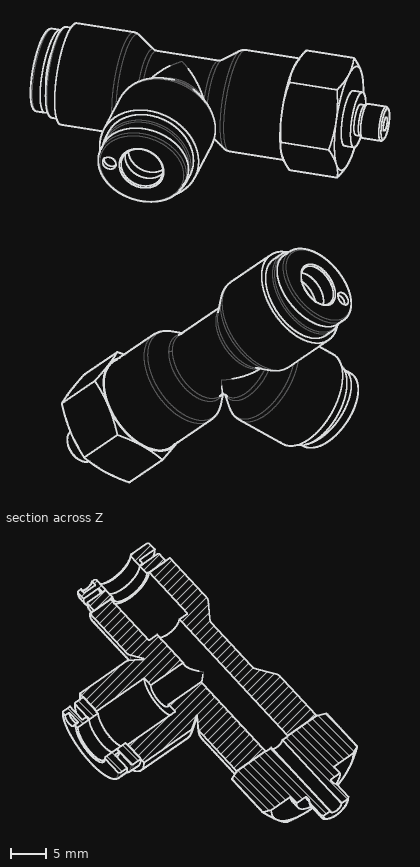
import cadquery as cq
import math


ARM_LENGTH = 16.75
ARM_DIAMETER = 14.7
WAIST_DIAMETER = 10.5
SHOULDER_OUTER = 8.0
SHOULDER_INNER = 4.95
SHOULDER_BLEND = 1.0
FLOW_BORE = 4.0
SOCKET_BORE = 7.0
SOCKET_FLOOR = SHOULDER_OUTER

RING_LENGTH = 1.65
RING_DIAMETER = 13.15
RING_EDGE_RADIUS = 0.2
TUBE_BORE = 6.2
RING_FRONT = ARM_LENGTH + RING_LENGTH

NECK_LENGTH = 0.75
NECK_DIAMETER = 7.5
HEAD_THICKNESS = 1.55
HEAD_WIDTH = 13.05
HEAD_HEIGHT = 11.55
HEAD_EDGE_RADIUS = 0.3
MOUTH_CHAMFER = 0.2
DIMPLE_DIAMETER = 2.0
DIMPLE_DEPTH = 0.75
DIMPLE_OFFSET = 4.8
HEAD_BACK = RING_FRONT + NECK_LENGTH
HEAD_FACE = HEAD_BACK + HEAD_THICKNESS

OVERALL_LENGTH = 50.85
STUD_END = OVERALL_LENGTH - HEAD_FACE
HEX_FLATS = 15.0
HEX_CORNERS = HEX_FLATS / math.cos(math.pi / 6)
HEX_LENGTH = 8.1
HEX_CHAMFER = 0.5
FLANGE_DIAMETER = 8.0
FLANGE_LENGTH = 1.35
UNDERCUT_DIAMETER = 4.5
UNDERCUT_LENGTH = 0.65
THREAD_DIAMETER = 5.0
THREAD_LEAD_IN = 0.4
THREAD_CHAMFER = 0.25
STUD_BORE = 2.0
HEX_END = ARM_LENGTH + HEX_LENGTH
FLANGE_END = HEX_END + FLANGE_LENGTH
THREAD_START = FLANGE_END + UNDERCUT_LENGTH


def cylinder(diameter, start, end):
    """Cylinder on the X axis between two X positions."""
    return cq.Workplane("YZ", origin=(start, 0, 0)).circle(diameter / 2).extrude(end - start)


def revolve_profile(points):
    """Solid turned about X from a closed outline of (x, radius) points."""
    return cq.Workplane("XY").polyline(points).close().revolve(360, (0, 0, 0), (1, 0, 0))


def on_run(body):
    """Turn a body built along +X so that it faces -X."""
    return body.rotate((0, 0, 0), (0, 0, 1), 180)


def on_branch(body):
    """Turn a body built along +X so that it faces -Y."""
    return body.rotate((0, 0, 0), (0, 0, 1), -90)


def make_arm():
    """One arm of the tee: waist, blended shoulder cone and full-diameter barrel."""
    waist = WAIST_DIAMETER / 2
    barrel = ARM_DIAMETER / 2
    arm = revolve_profile([
        (0, 0), (0, waist), (SHOULDER_INNER, waist),
        (SHOULDER_OUTER, barrel), (ARM_LENGTH, barrel), (ARM_LENGTH, 0),
    ])
    return arm.faces("%CONE").edges("%CIRCLE").fillet(SHOULDER_BLEND)


def make_housing():
    arm = make_arm()
    socket = cylinder(SOCKET_BORE, SOCKET_FLOOR, ARM_LENGTH)
    flow = cylinder(FLOW_BORE, 0, ARM_LENGTH)
    housing = arm.union(on_run(arm)).union(on_branch(arm))
    housing = housing.cut(flow.union(on_run(flow)).union(on_branch(flow)))
    return housing.cut(on_run(socket)).cut(on_branch(socket))


def make_ring():
    ring = cylinder(RING_DIAMETER, ARM_LENGTH, RING_FRONT)
    ring = ring.faces(">X").edges().fillet(RING_EDGE_RADIUS)
    return ring.cut(cylinder(TUBE_BORE, ARM_LENGTH, RING_FRONT))


def make_collar():
    head = (
        cq.Workplane("YZ", origin=(HEAD_BACK, 0, 0))
        .ellipse(HEAD_WIDTH / 2, HEAD_HEIGHT / 2)
        .extrude(HEAD_THICKNESS)
        .faces(">X").edges().fillet(HEAD_EDGE_RADIUS)
    )
    collar = head.union(cylinder(NECK_DIAMETER, RING_FRONT, HEAD_BACK))
    mouth = revolve_profile([
        (RING_FRONT, 0), (RING_FRONT, TUBE_BORE / 2),
        (HEAD_FACE - MOUTH_CHAMFER, TUBE_BORE / 2),
        (HEAD_FACE, TUBE_BORE / 2 + MOUTH_CHAMFER), (HEAD_FACE, 0),
    ])
    dimple = cylinder(DIMPLE_DIAMETER, HEAD_FACE - DIMPLE_DEPTH, HEAD_FACE)
    return collar.cut(mouth).cut(dimple.translate((0, -DIMPLE_OFFSET, 0)))


def make_hexagon():
    """Hexagon with corners on +Y and -Y, chamfered at both ends."""
    prism = cq.Workplane("YZ", origin=(ARM_LENGTH, 0, 0)).polygon(6, HEX_CORNERS).extrude(HEX_LENGTH)
    flat_radius = HEX_FLATS / 2
    corner_radius = HEX_CORNERS / 2
    envelope = revolve_profile([
        (ARM_LENGTH, 0), (ARM_LENGTH, flat_radius),
        (ARM_LENGTH + HEX_CHAMFER, corner_radius),
        (HEX_END - HEX_CHAMFER, corner_radius),
        (HEX_END, flat_radius), (HEX_END, 0),
    ])
    return prism.intersect(envelope)


def make_threaded_end():
    """Undercut, tapered lead-in and plain cylinder standing for the thread."""
    root = UNDERCUT_DIAMETER / 2
    crest = THREAD_DIAMETER / 2
    return revolve_profile([
        (HEX_END, 0), (HEX_END, root), (THREAD_START, root),
        (THREAD_START + THREAD_LEAD_IN, crest),
        (STUD_END - THREAD_CHAMFER, crest),
        (STUD_END, crest - THREAD_CHAMFER), (STUD_END, 0),
    ])


def make_stud():
    flange = cylinder(FLANGE_DIAMETER, HEX_END, FLANGE_END)
    stud = make_hexagon().union(flange).union(make_threaded_end())
    return stud.cut(cylinder(STUD_BORE, ARM_LENGTH, STUD_END))


housing = make_housing()
stud = make_stud()

rings = []
collars = []
ring = make_ring()
collar = make_collar()
flipped_collar = collar.rotate((0, 0, 0), (1, 0, 0), 180)
for place, socket_collar in ((on_run, flipped_collar), (on_branch, collar)):
    rings.append(place(ring).val())
    collars.append(place(socket_collar).val())

result = cq.Compound.makeCompound([housing.val(), stud.val(), *rings, *collars])